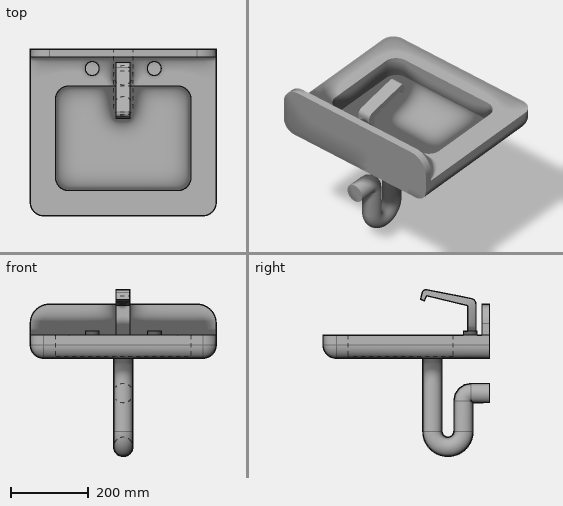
import cadquery as cq
import math


width = 480
depth = 430
slab_height = 60
slab_round = 35
bowl_width = 350
bowl_length = 270
bowl_front_margin = 65
bowl_depth = 55
bowl_corner_radius = 35

knob_diameter = 36
knob_height = 10
knob_spacing = 160
knob_wall_distance = 50

faucet_width = 36
faucet_offset = -1
column_back = 35
column_thickness = 22
elbow_back_height = 92.2
elbow_inner_height = 75.8
elbow_radius = 16
spout_top_angle = 11.1
spout_under_angle = 13.5
spout_under_length = 108.5
tip_bend_distance = 171.8
tip_bend_radius = 10
tip_angle = 66.5
tip_inner_length = 14.5
tip_thickness = 11

pipe_diameter = 50
drain_wall_distance = 147.5
trap_bend_radius = 40
trap_bend_height = -248
outlet_height = -149.5
outlet_bend_radius = 20

splash_height = 80
splash_thickness = 20
splash_corner_radius = 50


def make_slab():
    slab = cq.Workplane("XY").box(width, depth, slab_height, centered=(True, True, False))
    slab = slab.translate((0, -depth / 2, -slab_height))
    return slab.edges("(<Z or (|Z and <Y)) exc >Y").fillet(slab_round)


def make_bowl():
    bowl_centre = -depth + bowl_front_margin + bowl_length / 2
    return (
        cq.Workplane("XY")
        .center(0, bowl_centre)
        .rect(bowl_width, bowl_length)
        .extrude(-bowl_depth)
        .edges("|Z")
        .fillet(bowl_corner_radius)
    )


def make_knob(x):
    return (
        cq.Workplane("XY")
        .center(x, -knob_wall_distance)
        .circle(knob_diameter / 2)
        .extrude(knob_height)
    )


def along(start, length, angle):
    """Point at a distance and angle in degrees from start."""
    turn = math.radians(angle)
    return (start[0] + length * math.cos(turn), start[1] + length * math.sin(turn))


def make_faucet():
    column_front = column_back + column_thickness
    elbow_outer = (column_back, elbow_back_height)
    elbow_inner = (column_front, elbow_inner_height)
    spout_run = tip_bend_distance - column_back
    spout_length = spout_run / math.cos(math.radians(spout_top_angle))
    tip_outer_bend = along(elbow_outer, spout_length, spout_top_angle)
    tip_inner_bend = along(elbow_inner, spout_under_length, spout_under_angle)
    tip_inner_end = along(tip_inner_bend, tip_inner_length, -tip_angle)
    tip_outer_end = along(tip_inner_end, tip_thickness, 90 - tip_angle)
    profile = [
        (column_back, 0),
        elbow_outer,
        tip_outer_bend,
        tip_outer_end,
        tip_inner_end,
        tip_inner_bend,
        elbow_inner,
        (column_front, 0),
    ]
    faucet = (
        cq.Workplane("YZ")
        .polyline([(-distance, height) for distance, height in profile])
        .close()
        .extrude(faucet_width / 2, both=True)
        .translate((faucet_offset, 0, 0))
    )
    faucet = round_edge(faucet, elbow_outer, elbow_radius)
    return round_edge(faucet, tip_outer_bend, tip_bend_radius)


def round_edge(faucet, corner, radius):
    edge = cq.selectors.NearestToPointSelector((0, -corner[0], corner[1]))
    return faucet.edges("|X").edges(edge).fillet(radius)


def make_straight_pipe(start, end):
    direction = cq.Vector(*end) - cq.Vector(*start)
    return cq.Workplane(
        cq.Solid.makeCylinder(pipe_diameter / 2, direction.Length, cq.Vector(*start), direction)
    )


def make_pipe():
    riser_wall_distance = drain_wall_distance - 2 * trap_bend_radius
    outlet_bend_distance = riser_wall_distance - outlet_bend_radius
    outlet_bend_height = outlet_height - outlet_bend_radius
    drop = make_straight_pipe(
        (0, -drain_wall_distance, -slab_height), (0, -drain_wall_distance, trap_bend_height)
    )
    riser = make_straight_pipe(
        (0, -riser_wall_distance, trap_bend_height), (0, -riser_wall_distance, outlet_bend_height)
    )
    outlet = make_straight_pipe((0, -outlet_bend_distance, outlet_height), (0, 0, outlet_height))
    trap_bend = (
        cq.Workplane("XY", origin=(0, -drain_wall_distance, trap_bend_height))
        .circle(pipe_diameter / 2)
        .revolve(180, (0, trap_bend_radius), (1, trap_bend_radius))
    )
    return drop, riser, outlet, trap_bend, make_outlet_bend(outlet_bend_distance, outlet_bend_height)


def make_outlet_bend(bend_distance, bend_height):
    pipe_radius = pipe_diameter / 2
    half_chord = math.sqrt(pipe_radius**2 - outlet_bend_radius**2)
    return (
        cq.Workplane("XY", origin=(0, -bend_distance, bend_height))
        .moveTo(-half_chord, 0)
        .threePointArc((0, -outlet_bend_radius - pipe_radius), (half_chord, 0))
        .close()
        .revolve(90, (0, 0), (-1, 0))
    )


basin = make_slab().cut(make_bowl()).union(make_faucet())
for side in (-1, 1):
    basin = basin.union(make_knob(side * knob_spacing / 2))
for pipe_piece in make_pipe():
    basin = basin.union(pipe_piece)

splashback = (
    cq.Workplane("XZ")
    .rect(width, splash_height)
    .extrude(splash_thickness)
    .translate((0, 0, splash_height / 2))
    .edges("|Y and >Z")
    .fillet(splash_corner_radius)
)

result = cq.Compound.makeCompound([basin.val(), splashback.val()])